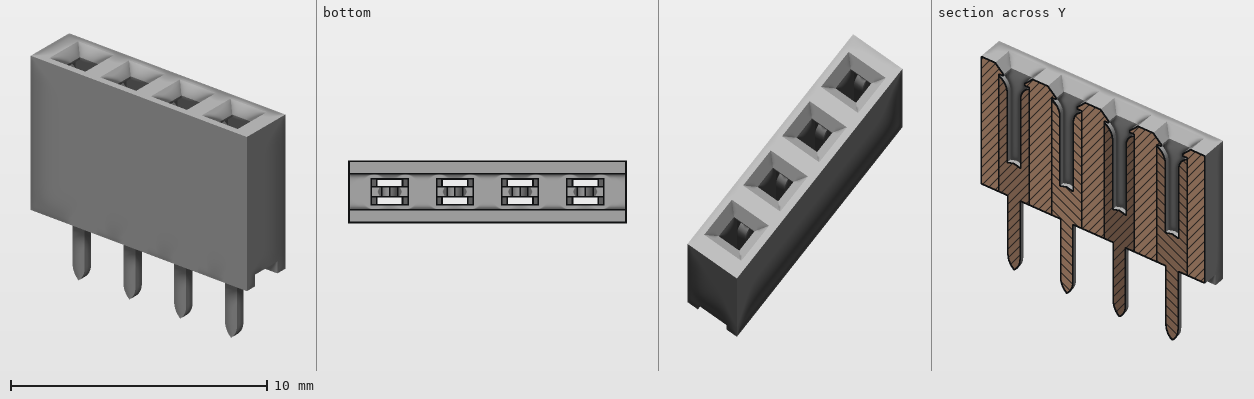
import cadquery as cq
import math

CONTACT_COUNT = 4
PITCH = 2.54

HOUSING_LENGTH = 10.82
HOUSING_WIDTH = 2.4
HOUSING_HEIGHT = 6.81
CHANNEL_WIDTH = 1.4
CHANNEL_DEPTH = 0.52

FUNNEL_MOUTH = 1.81
THROAT_SIDE = 1.0
FUNNEL_DEPTH = (FUNNEL_MOUTH - THROAT_SIDE) / 2
THROAT_DEPTH = 0.1
CAVITY_LENGTH = 1.43
CAVITY_WIDTH = 1.02
THROAT_TOP = HOUSING_HEIGHT - FUNNEL_DEPTH
CAVITY_TOP = THROAT_TOP - THROAT_DEPTH

CONTACT_THICKNESS = 0.4
PIN_WIDTH = 0.61
PIN_LENGTH = 3.0
TIP_HEIGHT = 0.64
FORK_CLEARANCE = 0.06
FORK_HALF = CAVITY_LENGTH / 2
FORK_TOP = CAVITY_TOP - FORK_CLEARANCE
SLOT_HALF = 0.31
LEAD_IN_RADIUS = 0.75
SLOT_FLOOR = 2.16
RIDGE_SLOPE = 15.3


def row_positions():
    """X positions of the contacts, centred on the housing."""
    first = -PITCH * (CONTACT_COUNT - 1) / 2
    return [first + PITCH * i for i in range(CONTACT_COUNT)]


def make_socket():
    """The space removed from the housing for one contact, centred on X = Y = 0."""
    funnel = (
        cq.Workplane("XY", origin=(0, 0, HOUSING_HEIGHT))
        .rect(FUNNEL_MOUTH, FUNNEL_MOUTH)
        .workplane(offset=-FUNNEL_DEPTH)
        .rect(THROAT_SIDE, THROAT_SIDE)
        .loft(ruled=True)
    )
    throat = (
        cq.Workplane("XY", origin=(0, 0, CAVITY_TOP))
        .rect(THROAT_SIDE, THROAT_SIDE)
        .extrude(THROAT_DEPTH)
    )
    cavity = cq.Workplane("XY").rect(CAVITY_LENGTH, CAVITY_WIDTH).extrude(CAVITY_TOP)
    return funnel.union(throat).union(cavity)


def make_housing():
    """Block with a channel along its underside and one socket per contact."""
    housing = cq.Workplane("XY").box(
        HOUSING_LENGTH, HOUSING_WIDTH, HOUSING_HEIGHT, centered=(True, True, False)
    )
    channel = cq.Workplane("XY").box(
        HOUSING_LENGTH, CHANNEL_WIDTH, CHANNEL_DEPTH, centered=(True, True, False)
    )
    housing = housing.cut(channel)
    socket = make_socket()
    for x in row_positions():
        housing = housing.cut(socket.translate((x, 0, 0)))
    return housing


def arc_point(centre, radius, degrees):
    """Point on a circle, as (x, z)."""
    angle = math.radians(degrees)
    return (centre[0] + radius * math.cos(angle), centre[1] + radius * math.sin(angle))


def make_contact():
    """Forked contact with its pin, centred on X = Y = 0, as one flat plate."""
    pin_half = PIN_WIDTH / 2

    tip_radius = (pin_half**2 + TIP_HEIGHT**2) / (2 * pin_half)
    tip_start = TIP_HEIGHT - PIN_LENGTH
    tip_angle = math.degrees(math.asin(TIP_HEIGHT / tip_radius))
    tip_middle = arc_point((pin_half - tip_radius, tip_start), tip_radius, -tip_angle / 2)

    lead_in_angle = math.degrees(math.acos(1 - (FORK_HALF - SLOT_HALF) / LEAD_IN_RADIUS))
    lead_in_start = FORK_TOP - LEAD_IN_RADIUS * math.sin(math.radians(lead_in_angle))
    lead_in_centre = (SLOT_HALF + LEAD_IN_RADIUS, lead_in_start)
    lead_in_middle = arc_point(lead_in_centre, LEAD_IN_RADIUS, 180 - lead_in_angle / 2)

    ridge_top = SLOT_FLOOR + SLOT_HALF * math.tan(math.radians(RIDGE_SLOPE))

    right_half = (
        cq.Workplane("XZ", origin=(0, CONTACT_THICKNESS / 2, 0))
        .moveTo(0, -PIN_LENGTH)
        .threePointArc(tip_middle, (pin_half, tip_start))
        .lineTo(pin_half, CHANNEL_DEPTH)
        .lineTo(FORK_HALF, CHANNEL_DEPTH)
        .lineTo(FORK_HALF, FORK_TOP)
        .threePointArc(lead_in_middle, (SLOT_HALF, lead_in_start))
        .lineTo(SLOT_HALF, SLOT_FLOOR)
        .lineTo(0, ridge_top)
        .close()
        .extrude(CONTACT_THICKNESS)
    )
    return right_half.union(right_half.mirror("YZ"))


housing = make_housing()
contact = make_contact()
contacts = [contact.translate((x, 0, 0)) for x in row_positions()]

result = cq.Compound.makeCompound([housing.val(), *[body.val() for body in contacts]])